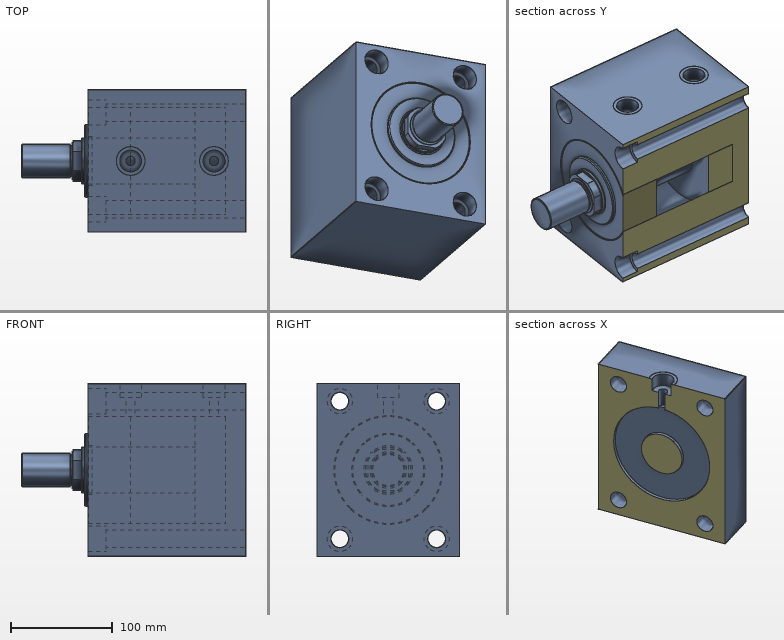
import cadquery as cq

OVERALL_LENGTH = 220
BLOCK_LENGTH = 155.0
BLOCK_WIDTH = 140.0
BLOCK_HEIGHT = 170.0
EDGE_CHAMFER = 0.5

MOUNT_SPACING_Y = 95.0
MOUNT_SPACING_Z = 135.0
MOUNT_HOLE_DIAMETER = 17.2
MOUNT_COUNTERBORE_DIAMETER = 24.9
MOUNT_COUNTERBORE_DEPTH = 18.0

PORT_FRONT_X = 42.0
PORT_SPACING = 81.8
PORT_SPOTFACE_DIAMETER = 28.2
PORT_SPOTFACE_DEPTH = 0.2
PORT_THREAD_DIAMETER = 21.3
PORT_THREAD_DEPTH = 13.6
PORT_PASSAGE_DIAMETER = 9.0

BORE_DIAMETER = 105.2
BORE_LENGTH = 135.0
BORE_CHAMFER = 0.9

GLAND_LENGTH = PORT_FRONT_X
NOSE_DIAMETER = 72.0
NOSE_LENGTH = 3.0
NOSE_CHAMFER = 1.0

WIPER_DIAMETER = 48.0
WIPER_LENGTH = 7.0

ROD_DIAMETER = 45.0
ROD_FRONT_X = -6.2
ROD_CHAMFER_LENGTH = 0.5
WRENCH_DIAMETER = 44
WRENCH_FRONT_X = -14.5
ACROSS_FLATS = 40.0
COLLAR_DIAMETER = 36.0
COLLAR_LENGTH = 0.9
NECK_DIAMETER = 30.5
NECK_LENGTH = 1.5
STUD_DIAMETER = 33.2
STUD_CHAMFER_LENGTH = 0.7
STUD_CHAMFER_HEIGHT = 1.0
PISTON_LENGTH = 30.0


def turned(profile):
    """Revolve a closed (x, radius) profile around the X axis."""
    return cq.Workplane("XZ").polyline(profile).close().revolve(360, (0, 0, 0), (1, 0, 0))


def tube(inner_diameter, outer_diameter, start_x, end_x):
    """Tube around the X axis; zero inner diameter gives a full cylinder."""
    inner = inner_diameter / 2
    outer = outer_diameter / 2
    return turned([(start_x, inner), (start_x, outer), (end_x, outer), (end_x, inner)])


def make_housing():
    """Block with the chamfered blind cylinder bore, four mounting holes and two oil ports."""
    block = cq.Workplane("XY").box(BLOCK_LENGTH, BLOCK_WIDTH, BLOCK_HEIGHT)
    block = block.edges("|X").chamfer(EDGE_CHAMFER).translate((BLOCK_LENGTH / 2, 0, 0))
    bore = turned([
        (0, 0),
        (0, BORE_DIAMETER / 2 + BORE_CHAMFER),
        (BORE_CHAMFER, BORE_DIAMETER / 2),
        (BORE_LENGTH, BORE_DIAMETER / 2),
        (BORE_LENGTH, 0),
    ])
    block = block.cut(bore)

    block = (
        block.faces("<X").workplane(origin=(0, 0, 0))
        .rarray(MOUNT_SPACING_Y, MOUNT_SPACING_Z, 2, 2)
        .cboreHole(MOUNT_HOLE_DIAMETER, MOUNT_COUNTERBORE_DIAMETER, MOUNT_COUNTERBORE_DEPTH)
    )

    top = BLOCK_HEIGHT / 2
    port_steps = [
        (PORT_SPOTFACE_DIAMETER, PORT_SPOTFACE_DEPTH),
        (PORT_THREAD_DIAMETER, PORT_THREAD_DEPTH),
        (PORT_PASSAGE_DIAMETER, top),
    ]
    ports = [(PORT_FRONT_X, 0), (PORT_FRONT_X + PORT_SPACING, 0)]
    for diameter, depth in port_steps:
        top_plane = cq.Workplane("XY", origin=(0, 0, top))
        block = block.cut(top_plane.pushPoints(ports).circle(diameter / 2).extrude(-depth))
    return block


def make_gland():
    """Stepped guide bush with a seat for the wiper ring in its nose."""
    inner = ROD_DIAMETER / 2
    nose = NOSE_DIAMETER / 2
    outer = BORE_DIAMETER / 2
    body = turned([
        (-NOSE_LENGTH, inner),
        (-NOSE_LENGTH, nose - NOSE_CHAMFER),
        (-NOSE_LENGTH + NOSE_CHAMFER, nose),
        (0, nose),
        (0, outer),
        (GLAND_LENGTH, outer),
        (GLAND_LENGTH, inner),
    ])
    return body.cut(make_wiper())


def make_wiper():
    """Ring between the gland nose and the rod."""
    return tube(ROD_DIAMETER, WIPER_DIAMETER, -NOSE_LENGTH, -NOSE_LENGTH + WIPER_LENGTH)


def make_wrench_section():
    """Short cylinder with four wrench flats, one on each side."""
    length = ROD_FRONT_X - WRENCH_FRONT_X
    front_plane = cq.Workplane("YZ", origin=(WRENCH_FRONT_X, 0, 0))
    square = front_plane.rect(ACROSS_FLATS, ACROSS_FLATS).extrude(length)
    return tube(0, WRENCH_DIAMETER, WRENCH_FRONT_X, ROD_FRONT_X).intersect(square)


def make_piston_rod():
    """Threaded stud, neck, collar, wrench section, rod and piston in one piece."""
    tip_x = BLOCK_LENGTH - OVERALL_LENGTH
    collar_x = WRENCH_FRONT_X - COLLAR_LENGTH
    stud_end_x = collar_x - NECK_LENGTH
    stud = STUD_DIAMETER / 2
    neck = NECK_DIAMETER / 2
    front = turned([
        (tip_x, 0),
        (tip_x, stud - STUD_CHAMFER_HEIGHT),
        (tip_x + STUD_CHAMFER_LENGTH, stud),
        (stud_end_x - STUD_CHAMFER_LENGTH, stud),
        (stud_end_x, neck),
        (collar_x, neck),
        (collar_x, COLLAR_DIAMETER / 2),
        (WRENCH_FRONT_X, COLLAR_DIAMETER / 2),
        (WRENCH_FRONT_X, 0),
    ])
    piston_x = BORE_LENGTH - PISTON_LENGTH
    rear = turned([
        (ROD_FRONT_X, 0),
        (ROD_FRONT_X, WRENCH_DIAMETER / 2),
        (ROD_FRONT_X + ROD_CHAMFER_LENGTH, ROD_DIAMETER / 2),
        (piston_x, ROD_DIAMETER / 2),
        (piston_x, BORE_DIAMETER / 2),
        (BORE_LENGTH, BORE_DIAMETER / 2),
        (BORE_LENGTH, 0),
    ])
    return rear.union(make_wrench_section()).union(front)


housing = make_housing()
gland = make_gland()
wiper = make_wiper()
piston_rod = make_piston_rod()

result = cq.Compound.makeCompound([housing.val(), gland.val(), wiper.val(), piston_rod.val()])